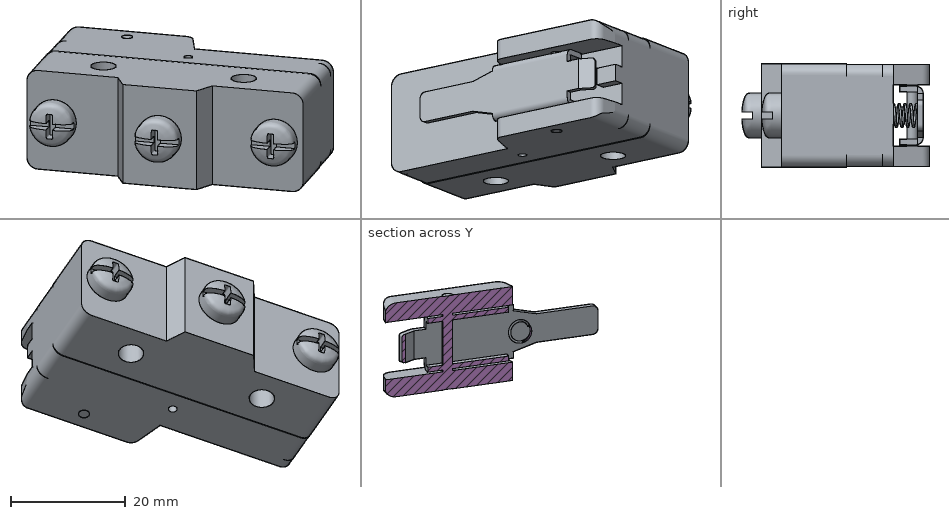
import cadquery as cq
import math

length = 50.0
half_length = length / 2
overlap = 0.25

base_height = 18.1
base_top = 11.3
base_radius = 2.0
upper_height = 17.8
middle_top = 17.6
cap_radius = 2.1
deck_top = 19.5
cap_top = 25.8

cap_slope_start = 21.4
cap_left_setback = 0.55
cap_right_foot = -0.15
cap_right_top = -2.3
cap_corner_radius = 1.75

channel_width = 10.7
rib_width = 3.0
rib_length = 4.0
rib_top = cap_slope_start

block_depth = 3.5
block_base_width = 17.1
block_tip_width = 13.3

mount_hole_diameter = 4.4
mount_hole_spacing = 25.4
mount_hole_y = 5.5
pilot_hole_diameter = 1.5
pilot_hole_y = 14.85

screw_spacing = 20.0
screw_radius = 3.95
screw_rim_height = 1.85
screw_shoulder_radius = 2.95
screw_shoulder_height = 3.0
screw_height = 3.4
slot_width = 1.15
slot_floor = 1.55
recess_length = 4.5
recess_floor = 1.0
recess_corner_radius = 0.25

sheet = 1.0
lever_top = 24.7
lever_width = 10.2
lever_start = -17.0
flange_end = -2.0
flange_bottom = 20.6
flange_bend_radius = 1.25
taper_start = -0.75
taper_end = 3.45
arm_width = 5.4
arm_end = 14.9
arm_corner_radius = 1.05
tongue_bend = -19.4
tongue_angle = 25.0
tongue_drop = 1.25
tongue_corner_radius = 0.5

pin_diameter = 1.9
pin_x = -13.3
pin_y = 22.8
pin_recess = 0.05

spring_x = 0.25
spring_radius = 1.9
spring_pitch = 1.0
wire_radius = 0.2


def rounded_layer(height, radius, y_start, y_end):
    """Full-length layer between two Y levels, with its X-direction corners rounded."""
    return (
        cq.Workplane("XZ", origin=(0, y_start, 0))
        .rect(length, height)
        .extrude(y_start - y_end)
        .edges("|Y")
        .fillet(radius)
    )


def plate(outline, height):
    """Closed XY outline extruded equally to both sides of Z = 0."""
    return cq.Workplane("XY").polyline(outline).close().extrude(height / 2, both=True)


def box_between(x_range, y_range, z_range):
    sides = [end - start for start, end in (x_range, y_range, z_range)]
    corner = (x_range[0], y_range[0], z_range[0])
    return cq.Workplane("XY").box(*sides, centered=False).translate(corner)


def make_cap():
    """Cap: stepped outline with rounded upper corners, cut by the lever channel."""
    outline = [
        (-half_length, middle_top),
        (half_length, middle_top),
        (half_length, deck_top),
        (cap_right_foot, deck_top),
        (cap_right_top, cap_top),
        (-half_length + cap_left_setback, cap_top),
        (-half_length, cap_slope_start),
    ]
    profile = plate(outline, upper_height).edges("|Z").edges(">Y").fillet(cap_corner_radius)
    cap = profile.intersect(rounded_layer(upper_height, cap_radius, middle_top, cap_top))
    half_channel = channel_width / 2
    channel = box_between(
        (-half_length, half_length), (deck_top, cap_top), (-half_channel, half_channel)
    )
    rib = box_between(
        (-half_length, -half_length + rib_length),
        (deck_top - overlap, rib_top),
        (-rib_width / 2, rib_width / 2),
    )
    return cap.cut(channel).union(rib)


def make_terminal_block():
    outline = [
        (-block_base_width / 2, 0),
        (-block_tip_width / 2, -block_depth),
        (block_tip_width / 2, -block_depth),
        (block_base_width / 2, 0),
    ]
    return plate(outline, base_height)


def make_housing():
    """Joined layers keep their seams, so faces are not merged across them."""
    housing = rounded_layer(base_height, base_radius, 0, base_top).union(make_terminal_block())
    middle = rounded_layer(upper_height, base_radius, base_top, middle_top)
    housing = housing.union(middle, clean=False).union(make_cap(), clean=False)
    mount_holes = (
        cq.Workplane("XY")
        .pushPoints([(side * mount_hole_spacing / 2, mount_hole_y) for side in (-1, 1)])
        .circle(mount_hole_diameter / 2)
        .extrude(base_height, both=True)
    )
    pilot_hole = (
        cq.Workplane("XY")
        .center(0, pilot_hole_y)
        .circle(pilot_hole_diameter / 2)
        .extrude(base_height, both=True)
    )
    return housing.cut(mount_holes, clean=False).cut(pilot_hole, clean=False)


def make_screw(x, seat_y):
    """Domed screw head pointing to -Y, with a full slot and a deeper cross recess."""
    head = (
        cq.Workplane("XY")
        .moveTo(0, overlap)
        .lineTo(screw_radius, overlap)
        .lineTo(screw_radius, -screw_rim_height)
        .spline(
            [(screw_shoulder_radius, -screw_shoulder_height), (0, -screw_height)],
            tangents=[(0, -1), (-1, 0)],
            includeCurrent=True,
        )
        .close()
        .revolve(360, (0, 0), (0, 1))
    )
    cut_start = -screw_height - overlap
    slot = box_between(
        (-screw_radius, screw_radius),
        (cut_start, -slot_floor),
        (-slot_width / 2, slot_width / 2),
    )
    recess = box_between(
        (-slot_width / 2, slot_width / 2),
        (cut_start, -recess_floor),
        (-recess_length / 2, recess_length / 2),
    )
    recess = recess.edges("|Y").fillet(recess_corner_radius)
    return head.cut(slot).cut(recess).translate((x, seat_y, 0))


def make_tongue():
    """Narrow end of the lever web, bent down towards the channel."""
    run = tongue_drop / math.tan(math.radians(tongue_angle))
    end_dx = sheet * math.sin(math.radians(tongue_angle))
    end_dy = sheet * math.cos(math.radians(tongue_angle))
    tip_x = tongue_bend - run
    tip_y = lever_top - tongue_drop
    inner_bend = tongue_bend + sheet * math.tan(math.radians(tongue_angle / 2))
    outline = [
        (lever_start + overlap, lever_top),
        (tongue_bend, lever_top),
        (tip_x, tip_y),
        (tip_x + end_dx, tip_y - end_dy),
        (inner_bend, lever_top - sheet),
        (lever_start + overlap, lever_top - sheet),
    ]
    across_sheet = cq.selectors.ParallelDirSelector(cq.Vector(end_dx, -end_dy, 0))
    return plate(outline, arm_width).edges(across_sheet).fillet(tongue_corner_radius)


def make_lever():
    """Channel-shaped lever body, tongue at one end and tapered arm at the other."""
    half_width = lever_width / 2
    body = box_between(
        (lever_start, taper_start), (flange_bottom, lever_top), (-half_width, half_width)
    )
    body = body.edges("|X and >Y").fillet(flange_bend_radius)
    below_web = (flange_bottom, lever_top - sheet)
    inside = box_between(
        (lever_start, taper_start), below_web, (-half_width + sheet, half_width - sheet)
    )
    flange_trim = box_between((flange_end, taper_start), below_web, (-half_width, half_width))
    half_root = half_width - flange_bend_radius
    half_arm = arm_width / 2
    arm_outline = [
        (taper_start - overlap, half_root),
        (taper_start, half_root),
        (taper_end, half_arm),
        (arm_end, half_arm),
        (arm_end, -half_arm),
        (taper_end, -half_arm),
        (taper_start, -half_root),
        (taper_start - overlap, -half_root),
    ]
    arm = (
        cq.Workplane("XZ", origin=(0, lever_top, 0))
        .polyline(arm_outline)
        .close()
        .extrude(sheet)
        .edges("|Y and >X")
        .fillet(arm_corner_radius)
    )
    return body.cut(inside).cut(flange_trim).union(arm).union(make_tongue())


def make_pin():
    return (
        cq.Workplane("XY")
        .center(pin_x, pin_y)
        .circle(pin_diameter / 2)
        .extrude(upper_height / 2, both=True)
    )


def make_pin_recesses():
    """Shallow cutters that leave the pin ends just below both cheek surfaces."""
    pin_end = upper_height / 2 - pin_recess
    recess = cq.Workplane("XY").center(pin_x, pin_y).circle(pin_diameter / 2).extrude(upper_height)
    upper = recess.translate((0, 0, pin_end))
    return upper.union(upper.mirror("XY"))


def make_spring():
    """Coil standing on the deck, the wire half sunk into the deck and the lever at its ends."""
    start_y = deck_top
    end_y = lever_top - sheet
    path = cq.Wire.makeHelix(
        spring_pitch,
        end_y - start_y,
        spring_radius,
        center=cq.Vector(spring_x, start_y, 0),
        dir=cq.Vector(0, 1, 0),
    )
    start = path.startPoint()
    tangent = path.tangentAt(0)
    return (
        cq.Workplane(cq.Plane(origin=start, normal=tangent))
        .circle(wire_radius)
        .sweep(path, isFrenet=True)
    )


result = make_housing()
for piece in (make_pin(), make_lever(), make_spring()):
    result = result.union(piece, clean=False)
result = result.cut(make_pin_recesses(), clean=False)
for screw_x, seat_y in ((-screw_spacing, 0), (0, -block_depth), (screw_spacing, 0)):
    result = result.union(make_screw(screw_x, seat_y), clean=False)